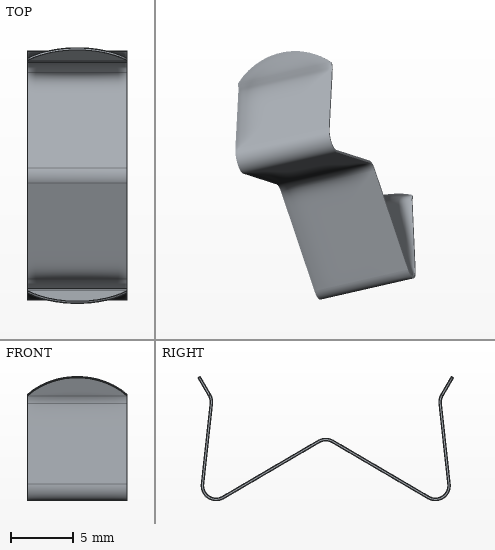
import cadquery as cq
import math

width = 8.0
thickness = 0.2
span_over_feet = 19.98
outer_radius = 1.2
inner_radius = outer_radius - thickness

arm_angle = 30.35
leg_angle = 6.25
tab_angle = 30.25
neck_height = 7.9
tab_length = 1.68
tab_arc_radius = 5.6
trim_allowance = 0.5


def direction(angle):
    """Unit vector in the YZ plane, angle in degrees from +Y towards +Z."""
    return math.cos(math.radians(angle)), math.sin(math.radians(angle))


def polar(center, radius, angle):
    """Point on a circle in the YZ plane."""
    y, z = direction(angle)
    return center[0] + radius * y, center[1] + radius * z


arm_normal = 90.0 - arm_angle
leg_normal = leg_angle
tab_normal = -tab_angle

axis_offset = outer_radius + inner_radius
foot_y = span_over_feet / 2 - outer_radius
foot_axis = (foot_y, outer_radius)

arm_y, arm_z = direction(arm_normal)
ridge_axis = (0.0, outer_radius + (foot_y * arm_y - axis_offset) / arm_z)

leg_y, leg_z = direction(leg_normal)
neck_rise = neck_height - outer_radius
neck_axis = (foot_y + (axis_offset - neck_rise * leg_z) / leg_y, neck_height)


def arc_points(axis, radius, start, end):
    """Start, middle and end points of a bend arc."""
    return [polar(axis, radius, angle) for angle in (start, (start + end) / 2, end)]


def mirrored(points):
    """Reflect points through Y = 0 and reverse their order, to carry on a symmetric path."""
    return [(-y, z) for y, z in reversed(points)]


def sheet_face(ridge_radius, foot_radius, neck_radius):
    """One face of the sheet, as bend arcs listed from the +Y neck over the ridge to the -Y neck."""
    neck = arc_points(neck_axis, neck_radius, tab_normal + 180.0, leg_normal + 180.0)
    foot = arc_points(foot_axis, foot_radius, leg_normal, arm_normal - 180.0)
    ridge = arc_points(ridge_axis, ridge_radius, arm_normal, 180.0 - arm_normal)
    return [neck, foot, ridge, mirrored(foot), mirrored(neck)]


def tab_point(start, length):
    """Point on a +Y tab face at a distance from the end of the neck bend."""
    return polar(start, length, tab_normal + 90.0)


def make_strip():
    """Full bent strip with square-ended tabs, left long for trimming."""
    blank_length = tab_length + trim_allowance
    upper_face = sheet_face(outer_radius, inner_radius, outer_radius)
    lower_face = sheet_face(inner_radius, outer_radius, inner_radius)
    upper_tip = tab_point(upper_face[0][0], blank_length)
    lower_tip = tab_point(lower_face[0][0], blank_length)

    outline = cq.Workplane("YZ", origin=(-width / 2, 0, 0)).moveTo(*upper_tip)
    for start, middle, end in upper_face:
        outline = outline.lineTo(*start).threePointArc(middle, end)
    for tip in mirrored([lower_tip, upper_tip]):
        outline = outline.lineTo(*tip)
    for end, middle, start in reversed(lower_face):
        outline = outline.lineTo(*start).threePointArc(middle, end)
    return outline.lineTo(*lower_tip).close().extrude(width)


def make_tab_trimmer():
    """Waste beyond the arched free edge of the +Y tab, cut square through the sheet."""
    half_width = width / 2
    arch_rise = tab_arc_radius - math.sqrt(tab_arc_radius**2 - half_width**2)
    side_length = tab_length - arch_rise
    waste_end = tab_length + 2 * trim_allowance
    base_y, base_z = polar(neck_axis, outer_radius, tab_normal + 180.0)

    normal_y, normal_z = direction(tab_normal)
    tab_plane = cq.Plane(
        origin=(0, base_y, base_z),
        xDir=(-1, 0, 0),
        normal=(0, normal_y, normal_z),
    )
    return (
        cq.Workplane(tab_plane)
        .moveTo(-half_width, side_length)
        .threePointArc((0, tab_length), (half_width, side_length))
        .lineTo(half_width, waste_end)
        .lineTo(-half_width, waste_end)
        .close()
        .extrude(2 * thickness, both=True)
    )


tab_trimmer = make_tab_trimmer()
result = make_strip().cut(tab_trimmer).cut(tab_trimmer.mirror("XZ"))